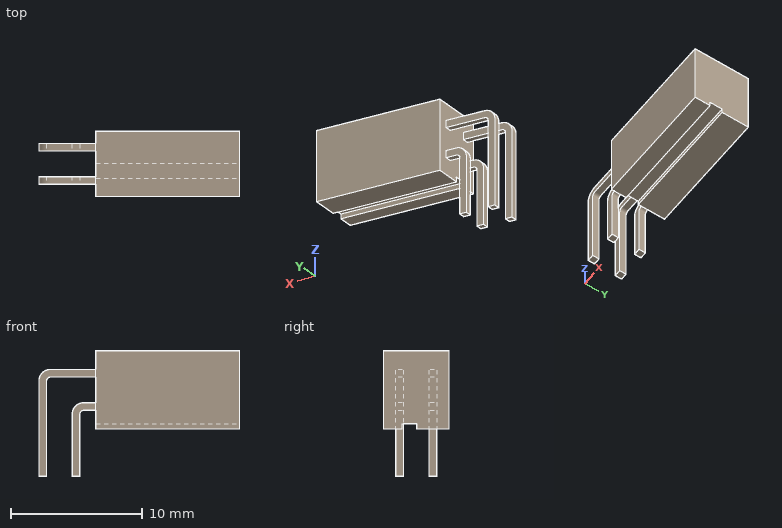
import cadquery as cq

HOUSING_LENGTH = 11.0
HOUSING_WIDTH = 5.0
HOUSING_HEIGHT = 6.0

GROOVE_MIN_Y = -1.1
GROOVE_MAX_Y = 0.03
GROOVE_DEPTH = 0.4

PITCH = 2.54
PIN_SIZE = 0.6
BEND_INNER_RADIUS = 0.3
BEND_OUTER_RADIUS = BEND_INNER_RADIUS + PIN_SIZE
PIN_DROP = 3.6
FIRST_LEG_OFFSET = 1.5

COLUMN_CENTRES = (-PITCH / 2, PITCH / 2)
ROW_HEIGHTS = (HOUSING_HEIGHT / 2 - PITCH / 2, HOUSING_HEIGHT / 2 + PITCH / 2)


def make_housing():
    """Rectangular block with a groove along its underside."""
    block = cq.Workplane("XY").box(
        HOUSING_LENGTH, HOUSING_WIDTH, HOUSING_HEIGHT, centered=(False, True, False)
    )
    groove = (
        cq.Workplane("XY")
        .box(HOUSING_LENGTH, GROOVE_MAX_Y - GROOVE_MIN_Y, GROOVE_DEPTH, centered=False)
        .translate((0, GROOVE_MIN_Y, 0))
    )
    return block.cut(groove)


def make_pin(row_height, leg_offset, column_y):
    """Right-angle pin leaving the housing face towards -X and bending down to -Z."""
    top = row_height + PIN_SIZE / 2
    outer_x = -leg_offset - PIN_SIZE / 2
    arm_length = -outer_x
    bottom = top - PIN_SIZE
    leg_height = top + PIN_DROP

    arm = cq.Workplane("XY").box(arm_length, PIN_SIZE, PIN_SIZE, centered=(False, True, False))
    arm = arm.translate((outer_x, column_y, bottom))
    leg = cq.Workplane("XY").box(PIN_SIZE, PIN_SIZE, leg_height, centered=(False, True, False))
    leg = leg.translate((outer_x, column_y, -PIN_DROP))

    inner_corner = cq.selectors.NearestToPointSelector((outer_x + PIN_SIZE, column_y, bottom))
    outer_corner = cq.selectors.NearestToPointSelector((outer_x, column_y, top))
    pin = arm.union(leg)
    pin = pin.edges("|Y").edges(inner_corner).fillet(BEND_INNER_RADIUS)
    return pin.edges("|Y").edges(outer_corner).fillet(BEND_OUTER_RADIUS)


housing = make_housing()

pins = []
for row, height in enumerate(ROW_HEIGHTS):
    for column_y in COLUMN_CENTRES:
        pins.append(make_pin(height, FIRST_LEG_OFFSET + row * PITCH, column_y))

result = cq.Compound.makeCompound([housing.val(), *[pin.val() for pin in pins]])